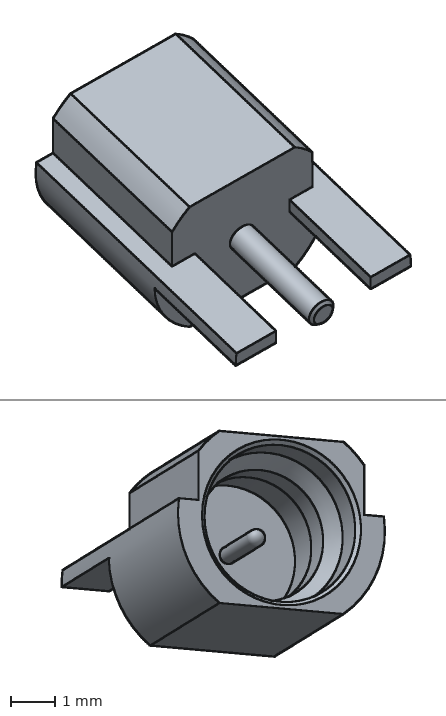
import cadquery as cq


body_length = 4.4
total_length = 7.4
body_radius = 2.5
body_height = 4.0
upper_width = 4.0
ledge_z = 0.35

leg_thickness = 0.4
leg_gap = 2.7

mouth_radius = 1.92
mouth_chamfer = 0.1
bore_radius = mouth_radius - mouth_chamfer
seat_radius = 1.52
taper_start = 0.9
taper_end = 1.35
flare_start = 2.1
flare_length = 0.15
undercut_depth = 0.1
socket_depth = 3.4

contact_radius = 0.2
contact_front = 1.4
tail_radius = 0.35
tail_chamfer = 0.08


def block(x_start, x_end, y_start, y_end, z_start, z_end):
    """Box given by its limits along X, Y and Z."""
    return cq.Workplane("XY").box(
        x_end - x_start, y_end - y_start, z_end - z_start, centered=False
    ).translate((x_start, y_start, z_start))


def rod(x_start, x_end, radius):
    """Cylinder along the connector axis."""
    return cq.Workplane("YZ", origin=(x_start, 0, 0)).circle(radius).extrude(x_end - x_start)


def make_housing():
    """Round bar with flat top and bottom, narrowed above the ledges."""
    half_height = body_height / 2
    lower = block(0, body_length, -body_radius, body_radius, -half_height, ledge_z)
    upper = block(0, body_length, -upper_width / 2, upper_width / 2, ledge_z, half_height)
    return rod(0, body_length, body_radius).intersect(lower.union(upper))


def make_legs():
    """Two flat legs whose outer sides follow the round of the housing."""
    strip = block(0, total_length, -body_radius, body_radius, ledge_z - leg_thickness, ledge_z)
    gap = block(0, total_length, -leg_gap / 2, leg_gap / 2, ledge_z - leg_thickness, ledge_z)
    return rod(body_length, total_length, body_radius).intersect(strip).cut(gap)


def make_socket():
    """Stepped cavity: chamfered mouth, wide bore, taper, narrower seat and undercut."""
    undercut_radius = seat_radius + undercut_depth
    profile = [
        (0, 0),
        (0, mouth_radius),
        (mouth_chamfer, bore_radius),
        (taper_start, bore_radius),
        (taper_end, seat_radius),
        (flare_start, seat_radius),
        (flare_start + flare_length, undercut_radius),
        (socket_depth, undercut_radius),
        (socket_depth, 0),
    ]
    return cq.Workplane("XY").polyline(profile).close().revolve(360, (0, 0, 0), (1, 0, 0))


def make_contact():
    """Thin round-nosed pin inside the socket."""
    tip_center = contact_front + contact_radius
    nose = cq.Workplane("XY").sphere(contact_radius).translate((tip_center, 0, 0))
    return rod(tip_center, body_length, contact_radius).union(nose)


def make_tail():
    """Solder tail behind the housing with a chamfered end."""
    return rod(body_length, total_length, tail_radius).faces(">X").chamfer(tail_chamfer)


result = (
    make_housing()
    .cut(make_socket())
    .union(make_legs())
    .union(make_contact())
    .union(make_tail())
)